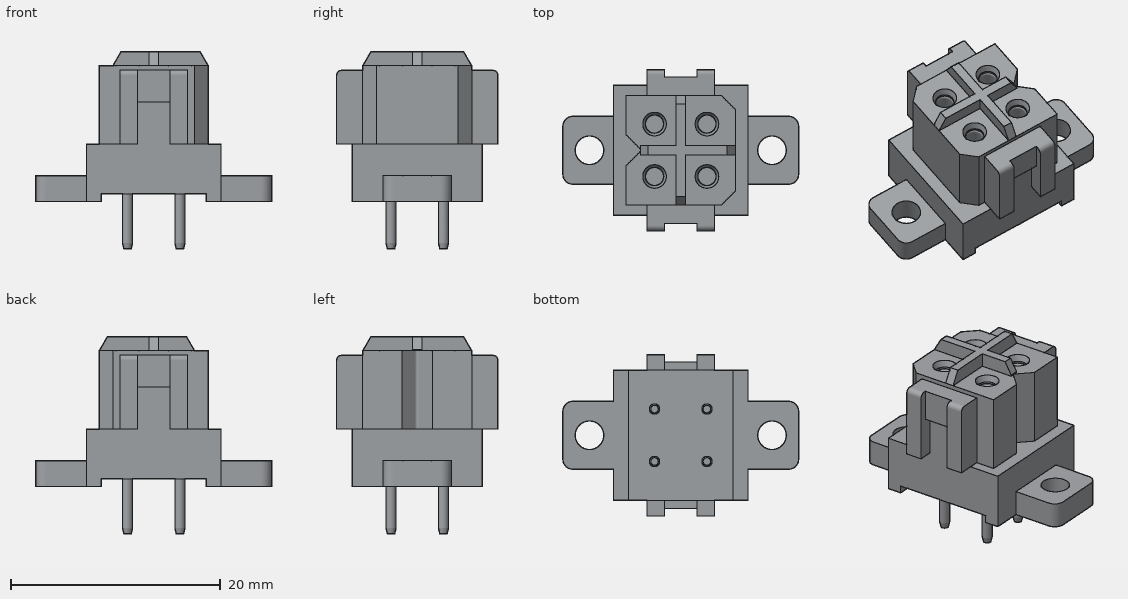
import cadquery as cq
import math


base_length = 12.85
base_width = 12.42
base_top = 5.5
channel_length = 10.0
channel_height = 0.75

ear_span = 22.5
ear_width = 6.5
ear_height = 2.5
ear_corner_radius = 1.0
ear_hole_diameter = 2.7
ear_hole_spacing = 17.4

tower_side = 10.4
tower_top = 12.95
tower_height = tower_top - base_top
corner_chamfer = 1.3
notch_depth = 1.46
notch_tip_radius = 0.25
notch_floor = -tower_side / 2 + notch_depth - notch_tip_radius * (math.sqrt(2) - 1)

rib_top = 14.3
rib_height = rib_top - tower_top
rib_width = 0.88
rib_end_angle = 60.0
rib_slope_run = rib_height / math.tan(math.radians(rib_end_angle))
notch_end_step = 0.11

latch_length = 6.44
latch_span = 15.4
latch_top = 12.53
latch_edge_radius = 0.5
slot_length = 3.05
slot_depth = 0.7
window_top = 9.5

pin_pitch = 5.0
barrel_radius = 1.25
barrel_top = 11.97
barrel_bottom = base_top
bore_radius = 0.85
bore_depth = 4.5
lip_radius = 0.2
tail_radius = 0.5
tail_end = -4.5
tip_length = 0.56
tip_radius = 0.35

mouth_radius = 1.12
mouth_depth = 0.6
throat_radius = 0.88
throat_length = 0.2
throat_bottom = tower_top - mouth_depth - throat_length


def block(length, width, bottom, top):
    """Box centred in X and Y between two heights."""
    return cq.Workplane("XY", origin=(0, 0, bottom)).box(length, width, top - bottom, centered=(True, True, False))


def make_base():
    base = block(base_length, base_width, 0, base_top)
    ears = block(ear_span, ear_width, 0, ear_height).edges("|Z").fillet(ear_corner_radius)
    ear_holes = (
        cq.Workplane("XY")
        .pushPoints([(-ear_hole_spacing / 2, 0), (ear_hole_spacing / 2, 0)])
        .circle(ear_hole_diameter / 2)
        .extrude(ear_height)
    )
    channel = block(channel_length, base_width, 0, channel_height)
    return base.union(ears).cut(ear_holes).cut(channel)


def make_tower():
    tower = block(tower_side, tower_side, base_top, tower_top).edges("|Z and >X").chamfer(corner_chamfer)
    face_x = -tower_side / 2
    notch = (
        cq.Workplane("XY", origin=(0, 0, base_top))
        .polyline([(face_x, -notch_depth), (face_x + notch_depth, 0), (face_x, notch_depth)])
        .close()
        .extrude(tower_height)
        .edges("|Z and >X")
        .fillet(notch_tip_radius)
    )
    return tower.cut(notch)


def make_rib():
    half_side = tower_side / 2
    arm_along_y = (
        cq.Workplane("YZ", origin=(-rib_width / 2, 0, 0))
        .moveTo(-half_side, tower_top)
        .lineTo(half_side, tower_top)
        .lineTo(half_side - rib_slope_run, rib_top)
        .lineTo(-half_side + rib_slope_run, rib_top)
        .close()
        .extrude(rib_width)
    )
    notch_end_run = (rib_height - notch_end_step) / math.tan(math.radians(rib_end_angle))
    arm_along_x = (
        cq.Workplane("XZ", origin=(0, rib_width / 2, 0))
        .moveTo(notch_floor, tower_top)
        .lineTo(half_side, tower_top)
        .lineTo(half_side - rib_slope_run, rib_top)
        .lineTo(notch_floor + notch_end_run, rib_top)
        .lineTo(notch_floor, tower_top + notch_end_step)
        .close()
        .extrude(rib_width)
    )
    return arm_along_y.union(arm_along_x)


def make_latches():
    """Both latch blocks as one bar through the tower, split by a stepped slot on each outer face."""
    bar = block(latch_length, latch_span, base_top, latch_top)
    bar = bar.edges("|X and >Z").fillet(latch_edge_radius)
    slot_core = block(slot_length, latch_span - 2 * slot_depth, window_top, latch_top)
    window_core = block(slot_length, base_width, base_top, window_top)
    slots = block(slot_length, latch_span, base_top, latch_top).cut(slot_core).cut(window_core)
    return bar.cut(slots)


def make_cavity():
    """Space for one pin: tail hole, barrel chamber, throat and tapered mouth."""
    half_profile = [
        (0, 0),
        (tail_radius, 0),
        (tail_radius, barrel_bottom),
        (barrel_radius, barrel_bottom),
        (barrel_radius, throat_bottom),
        (throat_radius, throat_bottom),
        (throat_radius, throat_bottom + throat_length),
        (mouth_radius, tower_top),
        (0, tower_top),
    ]
    return cq.Workplane("XZ").polyline(half_profile).close().revolve(360, (0, 0), (0, 1))


def make_pin():
    """Turned pin: tapered tail below, hollow barrel above with the bore's lip rounded."""
    lip_start = barrel_top - lip_radius
    lip_edge = bore_radius + lip_radius
    lip_mid_offset = lip_radius * math.sqrt(0.5)
    bore_floor = barrel_top - bore_depth
    return (
        cq.Workplane("XZ")
        .moveTo(0, tail_end)
        .lineTo(tip_radius, tail_end)
        .lineTo(tail_radius, tail_end + tip_length)
        .lineTo(tail_radius, barrel_bottom)
        .lineTo(barrel_radius, barrel_bottom)
        .lineTo(barrel_radius, barrel_top)
        .lineTo(lip_edge, barrel_top)
        .threePointArc((lip_edge - lip_mid_offset, lip_start + lip_mid_offset), (bore_radius, lip_start))
        .lineTo(bore_radius, bore_floor)
        .lineTo(0, bore_floor)
        .close()
        .revolve(360, (0, 0), (0, 1))
    )


pin_positions = [(x, y, 0) for x in (-pin_pitch / 2, pin_pitch / 2) for y in (-pin_pitch / 2, pin_pitch / 2)]

housing = make_base().union(make_tower()).union(make_latches()).union(make_rib())
for position in pin_positions:
    housing = housing.cut(make_cavity().translate(position))

pins = [make_pin().translate(position) for position in pin_positions]

result = cq.Compound.makeCompound([housing.val(), *[pin.val() for pin in pins]])